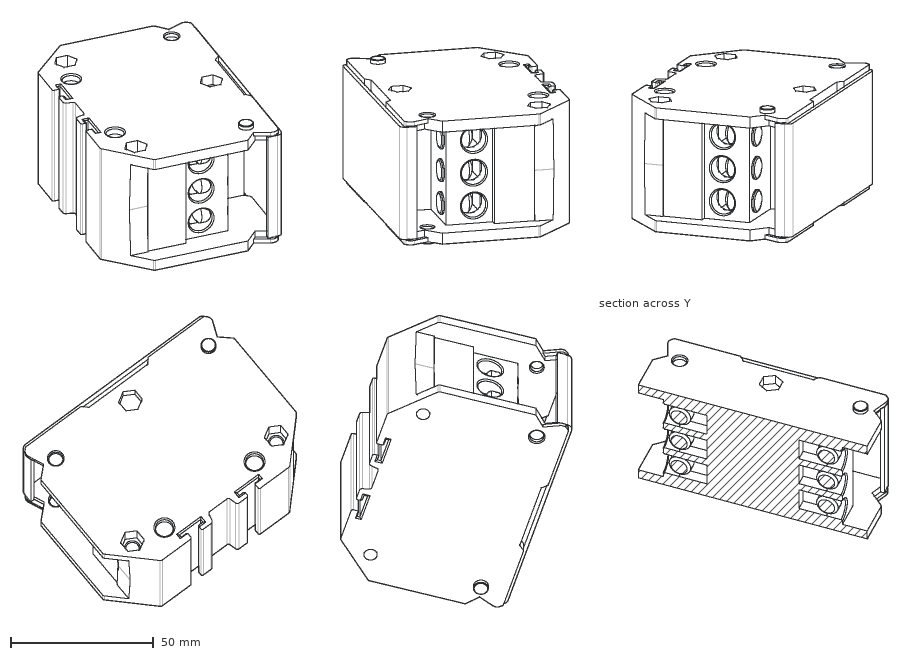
import cadquery as cq
import math

HALF_WIDTH = 43.0
HALF_THICK = 22.45
CUT_MARGIN = 8.6
PICK_MARGIN = 0.1

PLATE_INNER_Z = 18.4
SKIN_INNER_Z = 20.9
PLATE_TOP = 62.9
SHOULDER_Y = 50.0
SHOULDER_DX, SHOULDER_DY = 4.3, 3.95
NECK_LEAN = 0.42
NECK_INSET = 1.0
HOOD_RADIUS = 2.5
INNER_HOOD_RADIUS = 1.0
CORNER_CUT_X, CORNER_CUT_Y = 14.45, 14.5
CORNER_RADIUS = 1.0
FOOT_CORNER_RADIUS = 0.6

WINDOW_TOP_HALF = 14.9
WINDOW_FLOOR_HALF = 13.1
WINDOW_FLOOR_Y = 60.9

COVER_TOP = 64.3
COVER_HALF_X = 40.8
COVER_HALF_Z = 20.5
COVER_WALL = COVER_TOP - PLATE_TOP
COVER_ARM_END = 58.5
COVER_RADIUS = 2.2
COVER_INNER_CHAMFER = 0.8

FOOT_WALL_HALF_X = 36.6
FOOT_VALLEY_HALF_X = 36.3
LOWER_HALF_X = 36.1
UPPER_HALF_X = 33.7
LEDGE_Y = 29.2
BLOCK_TOP = 46.2
WEB_HALF_X = WINDOW_FLOOR_HALF
FOOT_WALL_TOP = 14.8

WIRE_PITCH = 11.95
WIRE_Y = 36.0
WIRE_DIAMETER = 8.8
WIRE_CHAMFER = 0.5
WIRE_DEPTH = 6.0
CHAMBER_LENGTH = 10.3
CHAMBER_BOTTOM, CHAMBER_TOP = 32.25, 40.25
SCREW_X = 27.7
SCREW_DIAMETER = 8.1
SCREW_TOP = 47.1
SCREW_CHAMFER = 0.4
SCREW_DOME_BASE = 37.15
SCREW_TIP = 35.3

PEG_X, PEG_Y = 34.0, 53.0
PEG_DIAMETER = 5.25
PEG_HEIGHT = 1.55
PEG_CHAMFER = 0.3
PEG_BORE_DIAMETER = 4.4
PEG_BORE_DEPTH = 2.15
SOCKET_DIAMETER = 5.0
SOCKET_DEPTH = 1.7
SOCKET_CHAMFER = 0.4

HEX_ACROSS_FLATS = 7.2
HEX_SIDES = 6
HEX_DIAMETER = HEX_ACROSS_FLATS / math.cos(math.pi / HEX_SIDES)
MIDDLE_HEX_Y = 53.9
MIDDLE_HEX_DEPTH = 3.9
BOLT_X, BOLT_Y = 32.0, 12.0
BOLT_HEX_DEPTH = 6.9
BOLT_DIAMETER = 4.65
BOLT_CHAMFER = 0.4
ROUND_X, ROUND_Y = 20.0, 9.1
ROUND_DIAMETER = 6.3
ROUND_DEPTH = 2.6
ROUND_CHAMFER = 0.5

SLOT_INNER, SLOT_OUTER = 8.1, 17.55
SLOT_NECK_INNER, SLOT_NECK_OUTER = 10.3, 15.0
SLOT_TOP = 3.8
SLOT_INNER_LIP, SLOT_OUTER_LIP = 2.5, 2.75
SLOT_FLARE = 0.7
OUTER_LIP_FLARE = 0.35
SLOT_FLARE_DEPTH = 0.35
MIDDLE_FOOT_Y = 0.215
GROOVE_TOP = 4.0
GROOVE_TOP_HALF = 4.5
GROOVE_BOTTOM_HALF = 5.5
GROOVE_RADIUS = 0.8
GROOVE_FOOT_RADIUS = 1.0


def prism(points, z_from, z_to):
    """Straight prism along Z over a closed outline."""
    return cq.Workplane("XY").workplane(offset=z_from).polyline(points).close().extrude(z_to - z_from)


def both_sides(solid):
    """The solid together with its mirror image across X = 0."""
    return solid.union(solid.mirror("YZ"))


def mirrored(right_half):
    """Closed outline from its right half, listed from the bottom upwards."""
    return right_half + [(-x, y) for x, y in reversed(right_half)]


def plate(neck_inset, hood_radius, z_from, z_to):
    """Full outline of a side plate; the inset pulls in the hood above the shoulder."""
    neck_y = SHOULDER_Y + SHOULDER_DY + neck_inset
    neck_x = HALF_WIDTH - (neck_y - SHOULDER_Y) * SHOULDER_DX / SHOULDER_DY
    hood_x = neck_x + NECK_LEAN * (PLATE_TOP - neck_y)
    foot_x = HALF_WIDTH - CORNER_CUT_X
    right_half = [
        (foot_x, 0),
        (HALF_WIDTH, CORNER_CUT_Y),
        (HALF_WIDTH, SHOULDER_Y),
        (neck_x, neck_y),
        (hood_x, PLATE_TOP),
    ]
    body = prism(mirrored(right_half), z_from, z_to)
    body = body.edges("|Z").edges(">Y").fillet(hood_radius)
    body = body.edges("|Z").edges("<Y").fillet(CORNER_RADIUS)
    lower_corners = cq.selectors.BoxSelector(
        (-HALF_WIDTH - PICK_MARGIN, CORNER_CUT_Y - PICK_MARGIN, z_from),
        (HALF_WIDTH + PICK_MARGIN, CORNER_CUT_Y + PICK_MARGIN, z_to),
    )
    return body.edges("|Z").edges(lower_corners).fillet(CORNER_RADIUS)


def housing():
    """Inner layer through the whole thickness with a wider skin on each face."""
    body = plate(NECK_INSET, INNER_HOOD_RADIUS, -HALF_THICK, HALF_THICK)
    body = body.union(plate(0, HOOD_RADIUS, SKIN_INNER_Z, HALF_THICK))
    return body.union(plate(0, HOOD_RADIUS, -HALF_THICK, -SKIN_INNER_Z))


def side_pocket():
    """Open space beside and above the terminal block, right side."""
    outside = HALF_WIDTH + CUT_MARGIN
    outline = [
        (FOOT_WALL_HALF_X, 0),
        (FOOT_WALL_HALF_X, FOOT_WALL_TOP),
        (LOWER_HALF_X, FOOT_WALL_TOP),
        (LOWER_HALF_X, LEDGE_Y),
        (UPPER_HALF_X, LEDGE_Y),
        (UPPER_HALF_X, BLOCK_TOP),
        (WEB_HALF_X, BLOCK_TOP),
        (WEB_HALF_X, PLATE_TOP),
        (outside, PLATE_TOP),
        (outside, 0),
    ]
    return prism(outline, -PLATE_INNER_Z, PLATE_INNER_Z)


def foot_wall_valley():
    """Shallow V across the right foot wall, deepest half way between the plates."""
    outline = [
        (FOOT_WALL_HALF_X, -PLATE_INNER_Z),
        (FOOT_VALLEY_HALF_X, 0),
        (FOOT_WALL_HALF_X, PLATE_INNER_Z),
    ]
    return cq.Workplane("XZ").polyline(outline).close().extrude(-FOOT_WALL_TOP)


def top_window():
    """Tapered notch through the top edge of both plates and the web."""
    outline = [
        (WINDOW_FLOOR_HALF, WINDOW_FLOOR_Y),
        (WINDOW_TOP_HALF, PLATE_TOP),
    ]
    return prism(mirrored(outline), -HALF_THICK, HALF_THICK)


def cover():
    """Strip over the top with an arm folded down at each end."""
    height = COVER_TOP - COVER_ARM_END
    inner_half = COVER_HALF_X - COVER_WALL
    strip = (
        cq.Workplane("XY")
        .box(2 * COVER_HALF_X, height, 2 * COVER_HALF_Z)
        .translate((0, COVER_ARM_END + height / 2, 0))
        .edges("|Z and >Y")
        .fillet(COVER_RADIUS)
    )
    inside = [
        (inner_half, COVER_ARM_END),
        (inner_half, PLATE_TOP - COVER_INNER_CHAMFER),
        (inner_half - COVER_INNER_CHAMFER, PLATE_TOP),
    ]
    return strip.cut(prism(mirrored(inside), -COVER_HALF_Z, COVER_HALF_Z))


def wire_entry(z):
    """Chamfered bore in the right wall with the clamp chamber behind it."""
    radius = WIRE_DIAMETER / 2
    chamber_x = UPPER_HALF_X - WIRE_DEPTH
    bore = (
        cq.Workplane("YZ", origin=(chamber_x, WIRE_Y, z))
        .circle(radius)
        .extrude(WIRE_DEPTH)
    )
    mouth = cq.Workplane(
        cq.Solid.makeCone(
            radius, radius + WIRE_CHAMFER, WIRE_CHAMFER,
            cq.Vector(UPPER_HALF_X - WIRE_CHAMFER, WIRE_Y, z), cq.Vector(1, 0, 0),
        )
    )
    chamber = (
        cq.Workplane("XY")
        .box(CHAMBER_LENGTH, CHAMBER_TOP - CHAMBER_BOTTOM, WIRE_DIAMETER)
        .translate((chamber_x - CHAMBER_LENGTH / 2, (CHAMBER_TOP + CHAMBER_BOTTOM) / 2, z))
    )
    return bore.union(mouth).union(chamber)


def clamp_screw(z):
    """Upright screw with a chamfered head and a domed tip."""
    radius = SCREW_DIAMETER / 2
    cap_height = SCREW_DOME_BASE - SCREW_TIP
    dome_radius = (radius ** 2 + cap_height ** 2) / (2 * cap_height)
    mid_angle = math.asin(radius / dome_radius) / 2
    dome_mid = (dome_radius * math.sin(mid_angle), SCREW_TIP + dome_radius * (1 - math.cos(mid_angle)))
    return (
        cq.Workplane("XY")
        .moveTo(0, SCREW_TIP)
        .threePointArc(dome_mid, (radius, SCREW_DOME_BASE))
        .lineTo(radius, SCREW_TOP - SCREW_CHAMFER)
        .lineTo(radius - SCREW_CHAMFER, SCREW_TOP)
        .lineTo(0, SCREW_TOP)
        .close()
        .revolve(360, (0, 0, 0), (0, 1, 0))
        .translate((SCREW_X, 0, z))
    )


def round_pocket(x, y, top, diameter, depth, chamfer):
    """Blind round pocket sunk from a face at Z = top, with a chamfered mouth."""
    radius = diameter / 2
    bore = cq.Workplane("XY").workplane(offset=top).circle(radius).extrude(-depth)
    mouth = cq.Workplane(
        cq.Solid.makeCone(
            radius + chamfer, radius, chamfer,
            cq.Vector(0, 0, top), cq.Vector(0, 0, -1),
        )
    )
    return bore.union(mouth).translate((x, y, 0))


def hex_pocket(x, y, depth):
    """Hexagon pocket in the +Z face with corners pointing along Y."""
    return (
        cq.Workplane("XY")
        .polygon(HEX_SIDES, HEX_DIAMETER)
        .extrude(depth)
        .rotate((0, 0, 0), (0, 0, 1), 180 / HEX_SIDES)
        .translate((x, y, HALF_THICK - depth))
    )


def bolt_hole():
    """Through hole under a hexagon pocket, chamfered at the pocket floor, right side."""
    seat_z = HALF_THICK - BOLT_HEX_DEPTH
    hole = round_pocket(BOLT_X, BOLT_Y, seat_z, BOLT_DIAMETER, seat_z + HALF_THICK, BOLT_CHAMFER)
    return hole.union(hex_pocket(BOLT_X, BOLT_Y, BOLT_HEX_DEPTH))


def peg():
    """Locating peg on the +Z face, right side."""
    return (
        cq.Workplane("XY", origin=(PEG_X, PEG_Y, HALF_THICK))
        .circle(PEG_DIAMETER / 2)
        .extrude(PEG_HEIGHT)
        .faces(">Z")
        .chamfer(PEG_CHAMFER)
    )


def peg_bore():
    """Blind bore behind the peg, opening into the space between the plates."""
    bore = round_pocket(PEG_X, PEG_Y, -PLATE_INNER_Z, PEG_BORE_DIAMETER, PEG_BORE_DEPTH, SOCKET_CHAMFER)
    return bore.rotate((PEG_X, PEG_Y, 0), (PEG_X + 0.9, PEG_Y, 0), 180)


def half_turn(solid):
    """The solid together with its copy turned half way round the Y axis."""
    return solid.union(solid.rotate((0, 0, 0), (0, 1, 0), 180))


def rail_slot():
    """T-slot for the rail edge, right side, flared where it meets each face."""
    def head(flare, inner_lip_flare, outer_lip_flare):
        return [
            (SLOT_INNER - flare, SLOT_INNER_LIP - inner_lip_flare),
            (SLOT_NECK_INNER, SLOT_INNER_LIP - inner_lip_flare),
            (SLOT_NECK_OUTER, SLOT_OUTER_LIP - outer_lip_flare),
            (SLOT_OUTER + flare, SLOT_OUTER_LIP - outer_lip_flare),
            (SLOT_OUTER + flare, SLOT_TOP + flare),
            (SLOT_INNER - flare, SLOT_TOP + flare),
        ]

    plain_head = head(0, 0, 0)
    slot = prism(plain_head, -HALF_THICK, HALF_THICK)
    flare = (
        cq.Workplane("XY")
        .workplane(offset=HALF_THICK - SLOT_FLARE_DEPTH)
        .polyline(plain_head)
        .close()
        .workplane(offset=SLOT_FLARE_DEPTH)
        .polyline(head(SLOT_FLARE, SLOT_FLARE, OUTER_LIP_FLARE))
        .close()
        .loft(ruled=True)
    )
    neck_width = SLOT_NECK_OUTER - SLOT_NECK_INNER
    neck = (
        cq.Workplane("XY")
        .box(neck_width, SLOT_TOP, 2 * HALF_THICK)
        .translate((SLOT_NECK_INNER + neck_width / 2, SLOT_TOP / 2, 0))
    )
    lips = cq.selectors.BoxSelector(
        (SLOT_NECK_INNER - PICK_MARGIN, SLOT_INNER_LIP - PICK_MARGIN, -PICK_MARGIN),
        (SLOT_NECK_OUTER + PICK_MARGIN, SLOT_OUTER_LIP + PICK_MARGIN, PICK_MARGIN),
    )
    slot = slot.union(neck).edges("|Z").edges(lips).fillet(FOOT_CORNER_RADIUS)
    return slot.union(flare).union(flare.mirror("XY"))


def middle_groove():
    """Flared groove between the two middle feet, and the small step under those feet."""
    flank = [(GROOVE_BOTTOM_HALF, 0), (GROOVE_TOP_HALF, GROOVE_TOP)]
    groove = prism(mirrored(flank), -HALF_THICK, HALF_THICK)
    groove = groove.edges("|Z and >Y").fillet(GROOVE_RADIUS)
    step_side = [(SLOT_NECK_INNER, 0), (SLOT_NECK_INNER, MIDDLE_FOOT_Y)]
    step = prism(mirrored(step_side), -HALF_THICK, HALF_THICK)
    return groove.union(step)


def round_feet(body):
    """Round the lower corners of the four feet, more generously beside the groove."""
    def corners_within(half_x):
        return cq.selectors.BoxSelector(
            (-half_x, -PICK_MARGIN, -PICK_MARGIN),
            (half_x, MIDDLE_FOOT_Y + PICK_MARGIN, PICK_MARGIN),
        )

    beside_groove = corners_within(GROOVE_BOTTOM_HALF + PICK_MARGIN)
    body = body.edges("|Z").edges(beside_groove).fillet(GROOVE_FOOT_RADIUS)
    rounded_zone = corners_within(GROOVE_BOTTOM_HALF + GROOVE_FOOT_RADIUS)
    slot_edges = corners_within(SLOT_NECK_OUTER + PICK_MARGIN) - rounded_zone
    return body.edges("|Z").edges(slot_edges).fillet(FOOT_CORNER_RADIUS)


result = housing()
result = result.cut(both_sides(rail_slot())).cut(middle_groove())
result = round_feet(result)
result = result.cut(both_sides(side_pocket())).cut(both_sides(foot_wall_valley()))
result = result.cut(top_window()).union(cover())

for row in (-1, 0, 1):
    row_z = row * WIRE_PITCH
    result = result.cut(both_sides(wire_entry(row_z))).union(both_sides(clamp_screw(row_z)))

socket = round_pocket(-PEG_X, PEG_Y, HALF_THICK, SOCKET_DIAMETER, SOCKET_DEPTH, SOCKET_CHAMFER)
result = result.union(half_turn(peg())).cut(half_turn(peg_bore())).cut(half_turn(socket))

round_recess = round_pocket(ROUND_X, ROUND_Y, HALF_THICK, ROUND_DIAMETER, ROUND_DEPTH, ROUND_CHAMFER)
result = result.cut(both_sides(round_recess)).cut(both_sides(bolt_hole()))
result = result.cut(hex_pocket(0, MIDDLE_HEX_Y, MIDDLE_HEX_DEPTH))